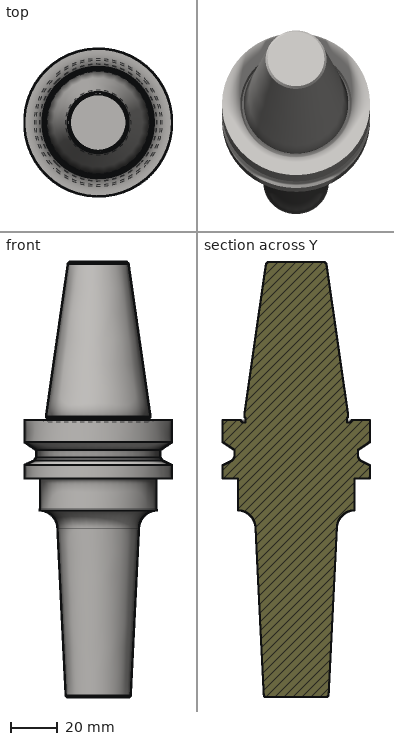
import cadquery as cq

total_height = 185.4
gauge_line_z = 120.0
flange_top_z = 118.1
flange_bottom_z = 93.0
groove_top_z = 108.6
groove_bottom_z = 98.8
groove_flank_height = 3.3
collar_bottom_z = 80.3
neck_z = 72.0

taper_tip_radius = 13.0
gauge_radius = 22.2
undercut_radius = 21.7
relief_root_radius = 23.0
relief_radius = 23.7
flange_radius = 31.5
groove_radius = 26.5
collar_radius = 24.8
neck_radius = 17.5
nose_radius = 13.9

tip_chamfer = 1.0
relief_depth = 1.0
collar_chamfer = 0.7
nose_chamfer = 0.7
groove_corner_width = 0.7
groove_corner_height = 1.3

undercut_chamfer = gauge_radius - undercut_radius
undercut_top_z = gauge_line_z - 2 * undercut_chamfer

groove_root_z = groove_bottom_z + groove_flank_height

blend_top_z = collar_bottom_z - collar_chamfer
blend_radius = blend_top_z - neck_z
blend_outer_radius = neck_radius + blend_radius
blend_mid_offset = blend_radius * 0.5 ** 0.5

profile = (
    cq.Workplane("XZ")
    .moveTo(0, 0)
    .lineTo(nose_radius - nose_chamfer, 0)
    .lineTo(nose_radius, nose_chamfer)
    .lineTo(neck_radius, neck_z)
    .threePointArc(
        (blend_outer_radius - blend_mid_offset, neck_z + blend_mid_offset),
        (blend_outer_radius, blend_top_z),
    )
    .lineTo(collar_radius, collar_bottom_z)
    .lineTo(collar_radius, flange_bottom_z)
    .lineTo(flange_radius, flange_bottom_z)
    .lineTo(flange_radius, groove_bottom_z)
    .lineTo(groove_radius + groove_corner_width, groove_root_z - groove_corner_height)
    .lineTo(groove_radius, groove_root_z)
    .lineTo(groove_radius, groove_top_z - groove_flank_height)
    .lineTo(flange_radius, groove_top_z)
    .lineTo(flange_radius, flange_top_z)
    .lineTo(relief_radius, flange_top_z)
    .lineTo(relief_root_radius, flange_top_z - relief_depth)
    .lineTo(undercut_radius, flange_top_z - relief_depth)
    .lineTo(undercut_radius, undercut_top_z)
    .lineTo(gauge_radius, undercut_top_z + undercut_chamfer)
    .lineTo(gauge_radius, gauge_line_z)
    .lineTo(taper_tip_radius, total_height - tip_chamfer)
    .lineTo(taper_tip_radius - tip_chamfer, total_height)
    .lineTo(0, total_height)
    .close()
)

result = profile.revolve(360, (0, 0, 0), (0, 1, 0))